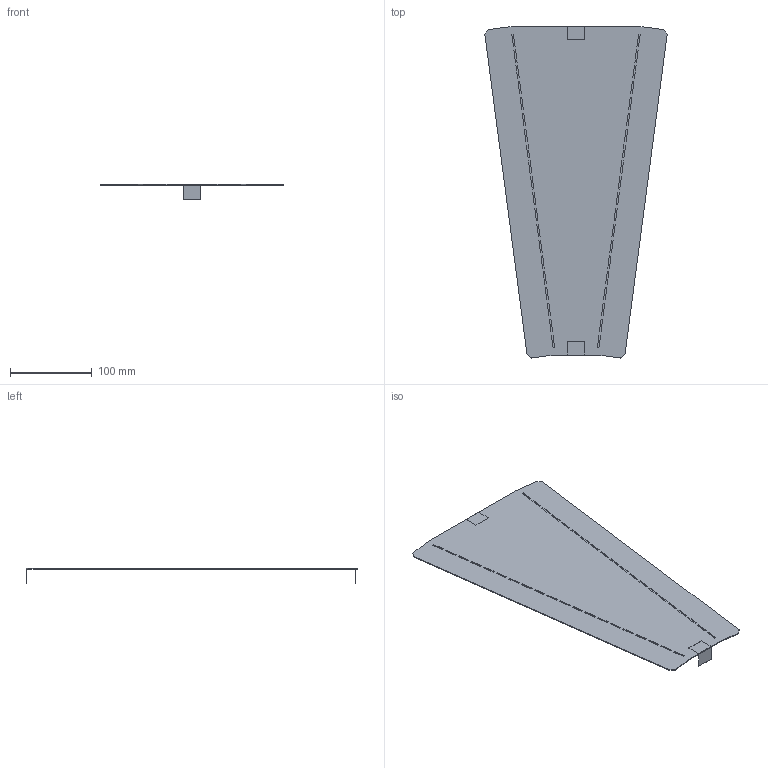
import cadquery as cq
import math

overall_width = 222.82
overall_length = 405.8
overall_height = 19.03

plate_thickness = 1.0
wing_angle = math.radians(7.5)
wing_width = 38.0
front_bend_offset = 5.3
corner_chamfer = 5.0

groove_count = 20
groove_length = 15.0
groove_width = 2.0
groove_depth = 0.75
groove_offset = 4.35
groove_end_margin = 9.35

tape_thickness = 0.1
tape_width = 21.5
tape_flap_length = 17.0

tilt_cos = math.cos(wing_angle)
tilt_sin = math.sin(wing_angle)
chamfer_start = wing_width - corner_chamfer
back_edge_y = overall_length / 2 - tape_thickness
back_bend_x = overall_width / 2 - wing_width * tilt_cos + corner_chamfer * tilt_sin
wing_length = (overall_length - tape_thickness - chamfer_start * tilt_sin) / tilt_cos
groove_pitch = (wing_length - 2 * groove_end_margin - groove_length) / (groove_count - 1)
top_z = plate_thickness + tape_thickness
bottom_z = top_z - overall_height


def wing_point(outward, forward):
    """Point on the right wing, measured from the back bend of the outline:
    outward square to the side edge, and forward along it."""
    x = back_bend_x + outward * tilt_cos - forward * tilt_sin
    y = back_edge_y - outward * tilt_sin - forward * tilt_cos
    return (x, y)


front_bend = wing_point(front_bend_offset, wing_length)
front_edge_y = front_bend[1]


def make_right_grooves():
    """Cutters for the right row of grooves, sunk from the top face."""
    groove = (
        cq.Workplane("XY")
        .rect(groove_width, groove_length)
        .extrude(-groove_depth)
        .rotate((0, 0, 0), (0, 0, 1), -math.degrees(wing_angle))
    )
    first_center = groove_end_margin + groove_length / 2
    cutters = cq.Workplane("XY")
    for index in range(groove_count):
        x, y = wing_point(groove_offset, first_center + index * groove_pitch)
        cutters.add(groove.translate((x, y, plate_thickness)))
    return cutters.combine()


def make_plate():
    right_edge = [
        wing_point(0, 0),
        wing_point(chamfer_start, 0),
        wing_point(wing_width, corner_chamfer),
        wing_point(wing_width, wing_length - corner_chamfer),
        wing_point(chamfer_start, wing_length),
        front_bend,
    ]
    left_edge = [(-x, y) for x, y in reversed(right_edge)]
    plate = cq.Workplane("XY").polyline(right_edge + left_edge).close().extrude(plate_thickness)
    right_grooves = make_right_grooves()
    left_grooves = right_grooves.mirror("YZ")
    return plate.cut(right_grooves).cut(left_grooves)


def make_tape(edge_y, outward):
    """L-shaped strip over the plate edge at edge_y; outward is the sign of the Y direction
    that leaves the plate there."""
    inner_y = edge_y - outward * tape_flap_length
    outer_y = edge_y + outward * tape_thickness
    profile = [
        (inner_y, plate_thickness),
        (edge_y, plate_thickness),
        (edge_y, bottom_z),
        (outer_y, bottom_z),
        (outer_y, top_z),
        (inner_y, top_z),
    ]
    return cq.Workplane("YZ").polyline(profile).close().extrude(tape_width / 2, both=True)


plate = make_plate()
back_tape = make_tape(back_edge_y, 1)
front_tape = make_tape(front_edge_y, -1)

result = cq.Compound.makeCompound([plate.val(), back_tape.val(), front_tape.val()])